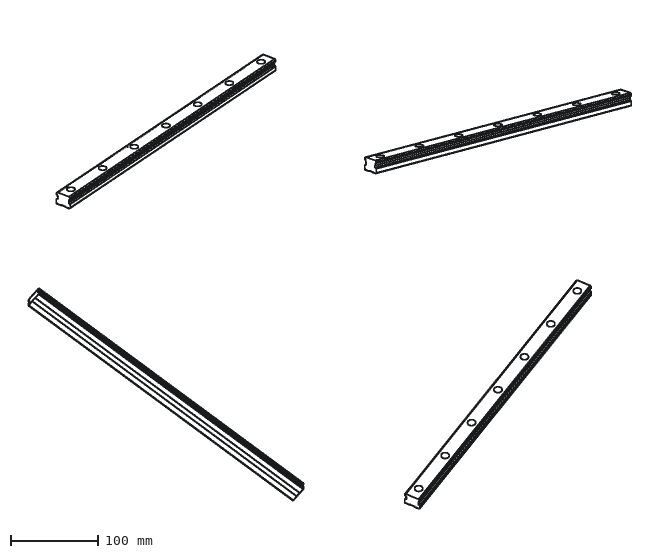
import cadquery as cq

length = 390.0
width = 20.0
height = 15.5

edge_chamfer = 1.5
base_chamfer = 0.98
head_bottom = 13.0
shoulder_width = 17.5
shoulder_height = 12.0
neck_width = 15.5
neck_top = 9.5
neck_bottom = 7.0
foot_top_width = 19.5
foot_top = 6.0
foot_side_height = 4.5

base_groove_width = 5.5
base_groove_depth = 0.6

hole_count = 7
hole_diameter = 9.5
recess_depth = 0.08
end_distance = 15.0
hole_pitch = (length - 2 * end_distance) / (hole_count - 1)


def make_rail():
    """Grooved section, symmetric about X = 0, extruded along Y."""
    half_width = width / 2
    right_side = [
        (base_groove_width / 2, base_groove_depth),
        (base_groove_width / 2, 0),
        (half_width - base_chamfer, 0),
        (half_width, base_chamfer),
        (half_width, foot_side_height),
        (foot_top_width / 2, foot_top),
        (neck_width / 2, neck_bottom),
        (neck_width / 2, neck_top),
        (shoulder_width / 2, shoulder_height),
        (half_width, head_bottom),
        (half_width, height - edge_chamfer),
        (half_width - edge_chamfer, height),
    ]
    left_side = [(-x, z) for x, z in reversed(right_side)]
    section = cq.Workplane("XZ").polyline(right_side + left_side).close()
    return section.extrude(length / 2, both=True)


def make_recesses():
    """Cutters for the round recesses in the top face."""
    return (
        cq.Workplane("XY", origin=(0, 0, height - recess_depth))
        .rarray(4, hole_pitch, 1, hole_count)
        .circle(hole_diameter / 2)
        .extrude(recess_depth)
    )


result = make_rail().cut(make_recesses())